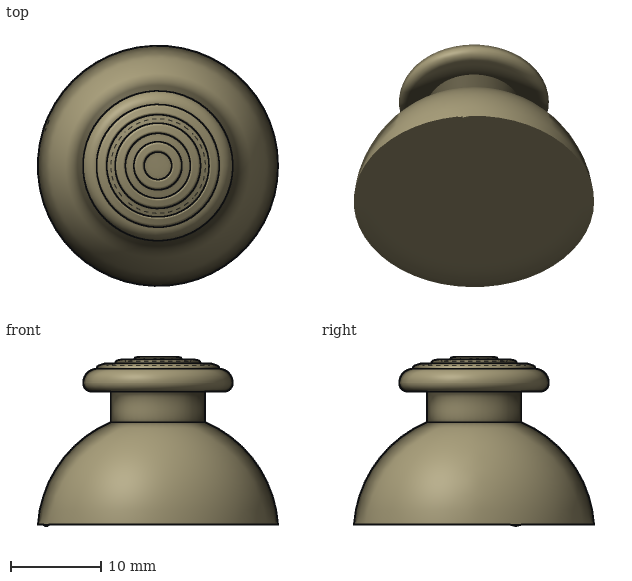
import cadquery as cq
import math


base_radius = 13.35
dome_height = 11.37
stem_radius = 10.5 / 2
stem_height = 3.38

nib_width = 1.5
nib_drop = 0.18
nib_thickness = 0.2
nib_angle = 159.5

cap_bottom = dome_height + stem_height
cap_radius = 8.32
lower_round = 0.97
shoulder_edge_radius = 6.82
crown_radius = 21.0
crown_top = 18.45

ring_outer_radii = [2.67, 4.745, shoulder_edge_radius]
ring_width = 1.14
ring_height = 0.28
ring_edge_run = 0.31
ring_root_depth = 0.3

midpoint_share = math.sin(math.radians(45))


def crown_z(radius):
    """Height of the spherical crown at a distance from the axis."""
    return crown_top - crown_radius + math.sqrt(crown_radius**2 - radius**2)


def revolve_about_z(profile):
    """Full revolution of an XZ profile about the Z axis."""
    return profile.revolve(360, (0, 0, 0), (0, 1, 0))


def make_nib():
    """Triangular nib tangent to the dome rim, pointing down."""
    nib_inner_radius = math.sqrt(base_radius**2 - (nib_width / 2) ** 2) - nib_thickness
    return (
        cq.Workplane("YZ")
        .polyline([(-nib_width / 2, 0), (nib_width / 2, 0), (0, -nib_drop)])
        .close()
        .extrude(nib_thickness)
        .translate((nib_inner_radius, 0, 0))
        .rotate((0, 0, 0), (0, 0, 1), nib_angle)
    )


def make_stick():
    """Spherical dome with its stem, one solid of revolution plus the rim nib."""
    sphere_z = (stem_radius**2 + dome_height**2 - base_radius**2) / (2 * dome_height)
    sphere_radius = math.hypot(base_radius, sphere_z)
    middle_z = dome_height / 2
    middle_radius = math.sqrt(sphere_radius**2 - (middle_z - sphere_z) ** 2)
    profile = (
        cq.Workplane("XZ")
        .lineTo(base_radius, 0)
        .threePointArc((middle_radius, middle_z), (stem_radius, dome_height))
        .lineTo(stem_radius, cap_bottom)
        .lineTo(0, cap_bottom)
        .close()
    )
    return revolve_about_z(profile).union(make_nib())


def make_ring(outer_radius):
    """Raised band with rounded edges, rooted a little below the crown."""
    inner_radius = outer_radius - ring_width
    crest_inner = inner_radius + ring_edge_run
    crest_outer = outer_radius - ring_edge_run
    crest_middle = (crest_inner + crest_outer) / 2
    edge_inset = ring_edge_run * (1 - midpoint_share)
    edge_rise = ring_height * midpoint_share
    edge_inner = inner_radius + edge_inset
    edge_outer = outer_radius - edge_inset
    profile = (
        cq.Workplane("XZ")
        .moveTo(crest_inner, crown_z(crest_inner) - ring_root_depth)
        .lineTo(inner_radius, crown_z(inner_radius))
        .threePointArc(
            (edge_inner, crown_z(edge_inner) + edge_rise),
            (crest_inner, crown_z(crest_inner) + ring_height),
        )
        .threePointArc(
            (crest_middle, crown_z(crest_middle) + ring_height),
            (crest_outer, crown_z(crest_outer) + ring_height),
        )
        .threePointArc(
            (edge_outer, crown_z(edge_outer) + edge_rise),
            (outer_radius, crown_z(outer_radius)),
        )
        .lineTo(crest_outer, crown_z(crest_outer) - ring_root_depth)
        .close()
    )
    return revolve_about_z(profile)


def make_cap():
    """Mushroom cap: rounded rim, full shoulder and a ringed spherical crown."""
    flat_radius = cap_radius - lower_round
    rim_z = cap_bottom + lower_round
    crown_middle = shoulder_edge_radius / 2
    profile = (
        cq.Workplane("XZ")
        .moveTo(0, cap_bottom)
        .lineTo(flat_radius, cap_bottom)
        .threePointArc(
            (flat_radius + lower_round * midpoint_share, rim_z - lower_round * midpoint_share),
            (cap_radius, rim_z),
        )
        .tangentArcPoint((shoulder_edge_radius, crown_z(shoulder_edge_radius)), relative=False)
        .threePointArc((crown_middle, crown_z(crown_middle)), (0, crown_top))
        .close()
    )
    cap = revolve_about_z(profile)
    for outer_radius in ring_outer_radii:
        cap = cap.union(make_ring(outer_radius))
    return cap


stick = make_stick()
cap = make_cap()

result = cq.Compound.makeCompound([stick.solids().val(), cap.solids().val()])